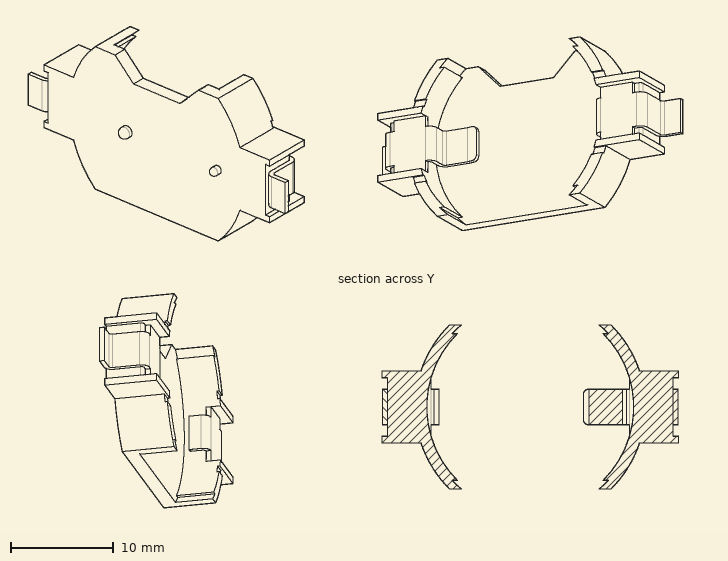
import cadquery as cq
import math

half_height = 8.0
outer_radius = 11.2
depth = 5.23
base_thickness = 1.48
pocket_radius = 10.05
ledge_height = 7.15
thin_wall_radius = 10.43

notch_half_width = 5.33
notch_depth = 2.37

arm_half_length = 14.45
arm_half_height = 3.52
block_end = 13.9
arm_wall = 0.7
relief_height = 0.7
relief_depth = 0.23

pin_length = 1.0
locating_pins = [(-3.78, 0.62), (7.8, 0.45)]

strip = 0.5
inner_bend = 0.3
contact_half_width = 1.75
contact_top = 4.28
foot_end = 16.45
shoulder_start = 13.15
tongue_bend = 6.28
tongue_tip = 5.15
tongue_rise = 0.23
tongue_corner = 0.53

outer_bend = inner_bend + strip
channel_half_height = arm_half_height - arm_wall
block_top = contact_top - strip
leg_face = block_end + strip
leg_outer = math.sqrt(pocket_radius**2 - channel_half_height**2) - inner_bend
leg_inner = leg_outer - strip
leg_end = base_thickness + outer_bend
tongue_top = base_thickness + strip


def block(x_range, y_range, half_z):
    """Box centred on Z = 0."""
    (x0, x1), (y0, y1) = x_range, y_range
    return cq.Workplane("XY").box(x1 - x0, y1 - y0, 2 * half_z, centered=False).translate((x0, y0, -half_z))


def disc(radius, y0, y1):
    """Round disc about the Y axis."""
    return cq.Workplane("XZ", origin=(0, y0, 0)).circle(radius).extrude(y0 - y1)


def cell_pocket():
    main = disc(pocket_radius, base_thickness, depth)
    wide = disc(thin_wall_radius, base_thickness, depth)
    middle = block((-outer_radius, outer_radius), (base_thickness, depth), ledge_height)
    return main.union(wide.cut(middle))


def base_notch():
    floor_half_width = notch_half_width - notch_depth
    floor = half_height - notch_depth
    points = [(-notch_half_width, half_height), (-floor_half_width, floor),
              (floor_half_width, floor), (notch_half_width, half_height)]
    return cq.Workplane("XZ").polyline(points).close().extrude(-depth)


def rim_relief():
    span = (-outer_radius, outer_radius)
    rim = (depth - relief_depth, depth)
    return block(span, rim, arm_half_height + relief_height).cut(block(span, rim, arm_half_height))


def arms():
    """Both arms: an end block between two side walls, its outer top edges rounded for the contacts."""
    walls = block((-arm_half_length, arm_half_length), (0, depth), arm_half_height)
    channel = block((-arm_half_length, arm_half_length), (0, depth), channel_half_height)
    blocks = block((-block_end, block_end), (0, block_top), channel_half_height)
    blocks = blocks.edges("|Z and >Y").fillet(inner_bend)
    return walls.cut(channel).union(blocks)


def locating_pin(x, radius):
    """Round-ended pin standing out of the back."""
    shank = pin_length - radius
    pin = cq.Workplane("XZ").center(x, 0).circle(radius).extrude(shank)
    return pin.union(cq.Workplane("XY").sphere(radius).translate((x, -shank, 0)))


def make_housing():
    ring = disc(outer_radius, 0, depth).intersect(
        block((-outer_radius, outer_radius), (0, depth), half_height))
    channel = block((-outer_radius, outer_radius), (block_top, depth), channel_half_height)
    body = ring.cut(channel).cut(rim_relief()).union(arms())
    body = body.cut(cell_pocket()).cut(base_notch())
    for x, radius in locating_pins:
        body = body.union(locating_pin(x, radius))
    return body


def contact_hook():
    """Foot, outer leg, top and inner leg of the contact on the +X end."""
    profile = (
        cq.Workplane("XY").moveTo(foot_end, 0)
        .lineTo(block_end + outer_bend, 0)
        .radiusArc((block_end, outer_bend), outer_bend)
        .lineTo(block_end, block_top - inner_bend)
        .radiusArc((block_end - inner_bend, block_top), -inner_bend)
        .lineTo(leg_outer + inner_bend, block_top)
        .radiusArc((leg_outer, block_top - inner_bend), -inner_bend)
        .lineTo(leg_outer, leg_end)
        .lineTo(leg_inner, leg_end)
        .lineTo(leg_inner, contact_top - outer_bend)
        .radiusArc((leg_inner + outer_bend, contact_top), outer_bend)
        .lineTo(leg_face - outer_bend, contact_top)
        .radiusArc((leg_face, contact_top - outer_bend), outer_bend)
        .lineTo(leg_face, outer_bend)
        .radiusArc((leg_face + inner_bend, strip), -inner_bend)
        .lineTo(foot_end, strip)
        .close()
    )
    hook = profile.extrude(contact_half_width, both=True)
    shoulder = block((leg_outer + inner_bend, shoulder_start), (block_top, contact_top), channel_half_height)
    return hook.union(shoulder)


def contact_tongue():
    """Spring tongue that leaves the inner leg, lies on the base and rises to a round-cornered tip."""
    profile = (
        cq.Workplane("XY").moveTo(leg_outer, leg_end)
        .radiusArc((leg_outer - outer_bend, base_thickness), outer_bend)
        .lineTo(tongue_bend, base_thickness)
        .lineTo(tongue_tip, base_thickness + tongue_rise)
        .lineTo(tongue_tip, tongue_top + tongue_rise)
        .lineTo(tongue_bend, tongue_top)
        .lineTo(leg_inner - inner_bend, tongue_top)
        .radiusArc((leg_inner, leg_end), -inner_bend)
        .close()
    )
    tongue = profile.extrude(contact_half_width, both=True)
    return tongue.edges("|Y and <X").fillet(tongue_corner)


housing = make_housing()
side_contact = contact_hook().mirror("YZ")
tongue_contact = contact_hook().union(contact_tongue())

result = cq.Compound.makeCompound([
    housing.solids().val(),
    side_contact.solids().val(),
    tongue_contact.solids().val(),
])